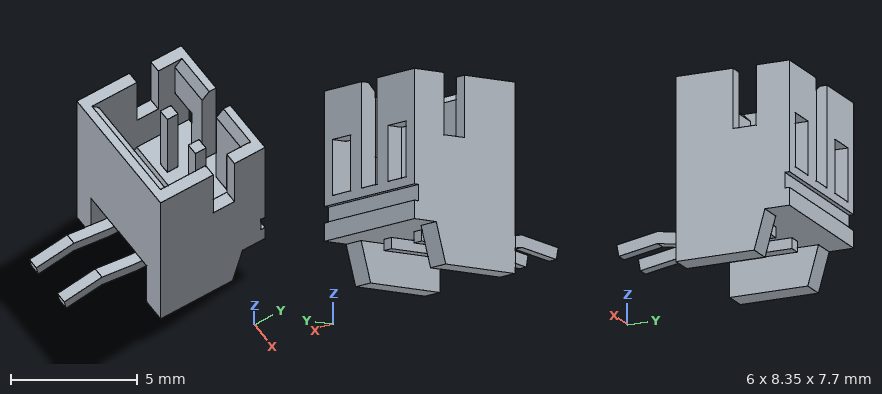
import cadquery as cq
import math

width = 6.0
depth = 4.95
height = 7.7
total_length = 8.35

heel_height = 1.65
heel_front = 3.88
foot_rear = 3.415
groove_bottom = 2.4
groove_height = 0.65
groove_depth = 0.2

cavity_width = 4.9
front_wall = 0.69
rear_wall = 0.67
lead_in = 0.33
rear_floor = 3.415
ramp_front = 1.68
ramp_run = 0.8
front_floor = rear_floor - ramp_run

key_slot_width = 1.0
side_slot_width = 1.0
side_slot_front = 2.5
side_slot_bottom = 5.185
rear_window_top = 5.66
rear_window_inner = 1.25

foot_thickness = 1.01
recess_top = 2.405
recess_rear = 1.79
recess_slope_length = 2.255

pin_size = 0.5
pin_pitch = 2.0
pin_top = 6.91
pin_rear = 3.31
pin_bottom = 1.2
pin_angle = 10.0
bend_y = 0.08
peak_y = -1.61


def extrude_along_x(points, length, center_x=0):
    """Extrude a closed YZ outline symmetrically about center_x."""
    profile = cq.Workplane("YZ", origin=(center_x, 0, 0)).polyline(points).close()
    return profile.extrude(length / 2, both=True)


def box_between(x_range, y_range, z_range):
    """Axis-aligned box spanning the given ranges."""
    sizes = [high - low for low, high in (x_range, y_range, z_range)]
    return cq.Workplane().box(*sizes, centered=False).translate((x_range[0], y_range[0], z_range[0]))


def make_body():
    outline = [
        (0, 0),
        (foot_rear, 0),
        (heel_front, heel_height),
        (depth, heel_height),
        (depth, groove_bottom),
        (depth - groove_depth, groove_bottom),
        (depth - groove_depth, groove_bottom + groove_height),
        (depth, groove_bottom + groove_height),
        (depth, height),
        (0, height),
    ]
    return extrude_along_x(outline, width)


def make_cavity():
    """Plug cavity with a ramped floor and chamfered front and rear rims."""
    cavity_rear = depth - rear_wall
    outline = [
        (front_wall, front_floor),
        (ramp_front, front_floor),
        (ramp_front + ramp_run, rear_floor),
        (cavity_rear, rear_floor),
        (cavity_rear, height - lead_in),
        (cavity_rear + lead_in, height),
        (front_wall - lead_in, height),
        (front_wall, height - lead_in),
    ]
    return extrude_along_x(outline, cavity_width)


def make_foot_recess():
    """Open space between the feet under the sloping underside."""
    outline = [
        (0, 0),
        (0, recess_top),
        (recess_slope_length, recess_rear),
        (recess_slope_length, heel_height),
        (depth, heel_height),
        (depth, 0),
    ]
    return extrude_along_x(outline, width - 2 * foot_thickness)


def make_wall_openings():
    half_key = key_slot_width / 2
    half_cavity = cavity_width / 2
    cavity_rear = depth - rear_wall
    openings = box_between((-half_key, half_key), (cavity_rear, depth), (rear_floor, height))
    side_slots = box_between(
        (-width / 2, width / 2),
        (side_slot_front, side_slot_front + side_slot_width),
        (side_slot_bottom, height),
    )
    openings = openings.union(side_slots)
    for x_range in ((-half_cavity, -rear_window_inner), (rear_window_inner, half_cavity)):
        window = box_between(x_range, (cavity_rear, depth), (rear_floor, rear_window_top))
        openings = openings.union(window)
    return openings


def make_pin(center_x):
    """Upright contact, horizontal run, then a tail rising and falling at the bend angle."""
    slope = math.tan(math.radians(pin_angle))
    peak_bottom = pin_bottom + (bend_y - peak_y) * slope
    tip_top_y = depth - total_length
    tip_bottom_y = tip_top_y + pin_size * math.sin(math.radians(pin_angle))
    tail_thickness = pin_size / math.cos(math.radians(pin_angle))
    peak_top = peak_bottom + tail_thickness
    outline = [
        (pin_rear, pin_bottom),
        (pin_rear, pin_top),
        (pin_rear - pin_size, pin_top),
        (pin_rear - pin_size, pin_bottom + pin_size),
        (bend_y, pin_bottom + pin_size),
        (peak_y, peak_top),
        (tip_top_y, peak_top - (peak_y - tip_top_y) * slope),
        (tip_bottom_y, peak_bottom - (peak_y - tip_bottom_y) * slope),
        (peak_y, peak_bottom),
        (bend_y, pin_bottom),
    ]
    return extrude_along_x(outline, pin_size, center_x)


result = make_body().cut(make_cavity()).cut(make_foot_recess()).cut(make_wall_openings())
for side in (-1, 1):
    result = result.union(make_pin(side * pin_pitch / 2))